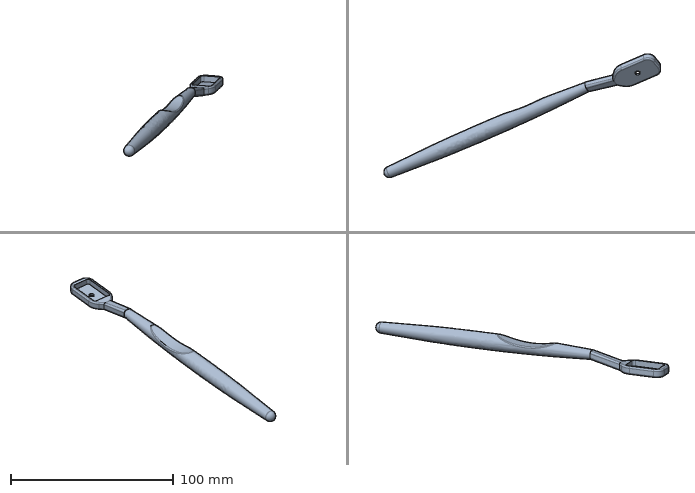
import cadquery as cq
import math

TOTAL_LENGTH = 195.0

HEAD_WIDTH = 16.0
HEAD_HEIGHT = 5.0
HEAD_END_RADIUS = 5.0
HEAD_SHOULDER_RADIUS = 9.4
SHOULDER_CORNER_Y = 169.8
HEAD_NECK_WIDTH = 6.2
HEAD_EDGE_RADIUS = 1.0

POCKET_WIDTH = 12.3
POCKET_FRONT_Y = 191.9
POCKET_BACK_Y = 170.0
POCKET_CORNER_RADIUS = 1.5
FLOOR_Z = 1.4
HOLE_DIAMETER = 3.1
HOLE_Y = 181.0

AXIS_Z = 7.2
MAX_RADIUS = 5.3
MAX_RADIUS_Y = 60.5
TAIL_RADIUS = 3.5
JOINT_RADIUS = 3.1
JOINT_Y = 145.0

NECK_WIDTH = 5.8
NECK_CORNER_RADIUS = 1.0
NECK_JOINT_SIZE = 5.5
NECK_JOINT_CORNER_RADIUS = 1.4

SCOOP_START_Y = 83.3
SCOOP_END_Y = 121.7
SCOOP_BOTTOM_Z = 8.4
SCOOP_RIM_Z = 11.9
SCOOP_EDGE_RADIUS = 0.8

HEAD_HALF = HEAD_WIDTH / 2
NECK_HALF = HEAD_NECK_WIDTH / 2
HEAD_BACK_Y = SHOULDER_CORNER_Y - (HEAD_HALF - NECK_HALF)


def head_outline():
    return [
        (-HEAD_HALF, TOTAL_LENGTH),
        (HEAD_HALF, TOTAL_LENGTH),
        (HEAD_HALF, SHOULDER_CORNER_Y),
        (NECK_HALF, HEAD_BACK_Y),
        (-NECK_HALF, HEAD_BACK_Y),
        (-HEAD_HALF, SHOULDER_CORNER_Y),
    ]


def make_head():
    head = cq.Workplane("XY").polyline(head_outline()).close().extrude(HEAD_HEIGHT)
    for side in (-HEAD_HALF, HEAD_HALF):
        for y, radius in (
            (TOTAL_LENGTH, HEAD_END_RADIUS),
            (SHOULDER_CORNER_Y, HEAD_SHOULDER_RADIUS),
        ):
            corner = cq.selectors.NearestToPointSelector((side, y, HEAD_HEIGHT / 2))
            head = head.edges("|Z").edges(corner).fillet(radius)
    return head.edges("#Z and (not <Y)").fillet(HEAD_EDGE_RADIUS)


def make_pocket():
    """Straight-walled pocket, open at the top of the head."""
    return (
        cq.Workplane("XY", origin=(0, (POCKET_FRONT_Y + POCKET_BACK_Y) / 2, FLOOR_Z))
        .rect(POCKET_WIDTH, POCKET_FRONT_Y - POCKET_BACK_Y)
        .extrude(HEAD_HEIGHT - FLOOR_Z)
        .edges("|Z")
        .fillet(POCKET_CORNER_RADIUS)
    )


def make_hole():
    return cq.Workplane("XY").center(0, HOLE_Y).circle(HOLE_DIAMETER / 2).extrude(HEAD_HEIGHT)


def make_neck():
    """Rounded bar rising from the back of the head to the handle."""
    head_end = cq.Sketch().rect(NECK_WIDTH, HEAD_HEIGHT).vertices().fillet(NECK_CORNER_RADIUS)
    joint_end = (
        cq.Sketch()
        .rect(NECK_JOINT_SIZE, NECK_JOINT_SIZE)
        .vertices()
        .fillet(NECK_JOINT_CORNER_RADIUS)
    )
    return (
        cq.Workplane("XZ", origin=(0, HEAD_BACK_Y, 0))
        .placeSketch(
            head_end.moved(cq.Location(cq.Vector(0, HEAD_HEIGHT / 2, 0))),
            joint_end.moved(cq.Location(cq.Vector(0, AXIS_Z, HEAD_BACK_Y - JOINT_Y))),
        )
        .loft()
    )


def make_handle():
    """Barrel turned about its length, with a hemispherical tail."""
    dome_middle = TAIL_RADIUS * math.sqrt(0.5)
    return (
        cq.Workplane("XY", origin=(0, 0, AXIS_Z))
        .moveTo(0, 0)
        .threePointArc((dome_middle, TAIL_RADIUS - dome_middle), (TAIL_RADIUS, TAIL_RADIUS))
        .spline([(MAX_RADIUS, MAX_RADIUS_Y), (JOINT_RADIUS, JOINT_Y)], includeCurrent=True)
        .lineTo(0, JOINT_Y)
        .close()
        .revolve(360, (0, 0, 0), (0, 1, 0))
    )


def make_scoop():
    """Cylindrical cutter across the top of the handle."""
    middle_y = (SCOOP_START_Y + SCOOP_END_Y) / 2
    half_length = (SCOOP_END_Y - SCOOP_START_Y) / 2
    depth = SCOOP_RIM_Z - SCOOP_BOTTOM_Z
    radius = (half_length**2 + depth**2) / (2 * depth)
    return (
        cq.Workplane("YZ")
        .center(middle_y, SCOOP_BOTTOM_Z + radius)
        .circle(radius)
        .extrude(HEAD_WIDTH, both=True)
    )


def round_scoop_edge(handle):
    scoop_bottom = (0, (SCOOP_START_Y + SCOOP_END_Y) / 2, SCOOP_BOTTOM_Z)
    scoop_face = cq.selectors.NearestToPointSelector(scoop_bottom)
    return handle.faces(scoop_face).edges().fillet(SCOOP_EDGE_RADIUS)


handle = round_scoop_edge(make_handle().cut(make_scoop()))
result = make_head().cut(make_pocket()).cut(make_hole()).union(make_neck()).union(handle)